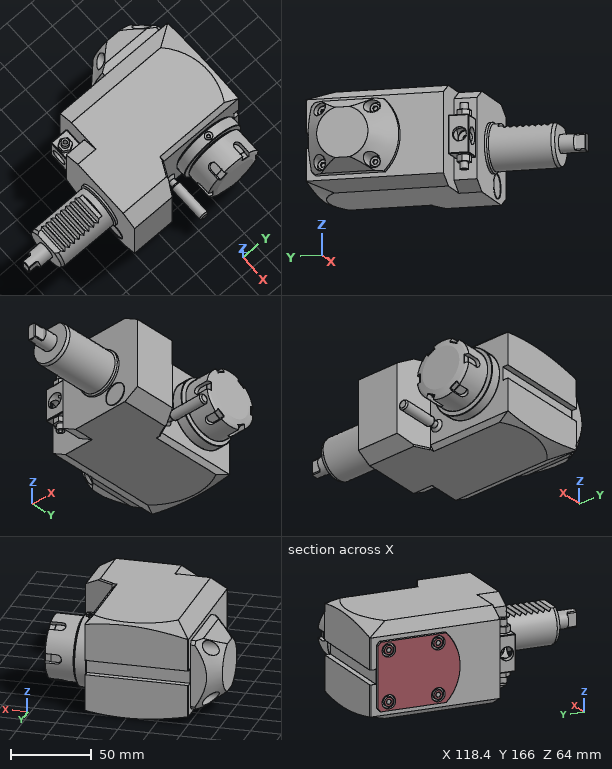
import cadquery as cq
import math


half_height = 32.0
foot_half_width = 32.0
left_x = -55.0
right_x = 12.0
step_y = 15.0
shoulder_y = 41.5
shoulder_end_y = 31.4
back_y = 104.0
bevel_angle = math.radians(30)
side_bevel_x = 10.8
side_bevel_z = side_bevel_x * math.tan(bevel_angle)
spindle_bevel = 3.2
shoulder_bevel = 0.8
back_corner_bevel = 0.5
crown_x = -13.8
crown_y = 57.3
crown_radius = 43.8
crown_slope = 1 / 3
key_slot_width = 9.6
key_slot_depth = 4.0
plug_x = 12.6
plug_z = -21.7
plug_radius = 7.8
plug_depth = 0.5

spindle_y = 75.0
cap_radius = 32.0
cap_face_x = -73.4
cap_face_radius = 16.6
cap_face_half_height = 16.0
cap_half_height = 22.9
cap_back_offset = 24.5
cap_bolt_offset = 17.0
cap_hole_radius = 4.5
bolt_head_radius = 3.2
bolt_head_height = 3.7
bolt_socket_size = 3.3
bolt_socket_depth = 2.0

ring_radius = 23.4
ring_start_x = 12.8
ring_end_x = 20.5
ring_bevel = 0.3
seat_radius = 21.9
neck_radius = 19.0
nut_start_x = 21.4
nut_edge_x = 39.8
nut_rim_x = 40.7
nut_end_x = 41.8
nut_radius = 20.9
nut_rim_radius = 19.3
nut_face_radius = 15.0
nut_back_bevel = 0.3
nut_slots = 6
nut_slot_width = 6.1
nut_slot_start_x = 29.4
nut_slot_step_x = 36.9
nut_slot_floor = 18.1
nut_slot_front_floor = 17.6
set_screw_x = 16.5
set_screw_radius = 2.7
set_screw_recess = 0.8
set_screw_socket_radius = 1.2
set_screw_socket_depth = 2.5

pin_y = 46.6
pin_z = -17.0
pin_radius = 3.5
pin_neck_radius = 2.5
pin_root_radius = 4.3
pin_root_end_x = 14.0
pin_neck_end_x = 17.5
pin_end_x = 45.0
pin_bevel = 1.0

block_left_x = -47.6
block_front_y = 0.8
block_back_y = 14.1
block_half_height = 12.3
block_bevel = 0.5
nozzle_x = -39.8
nozzle_y = 6.0
front_port_radius = 5.5
front_port_depth = 10.8
side_port_y = 6.8
side_port_radius = 4.5
side_port_depth = 13.3
side_drill_radius = 1.5
side_drill_end_x = -32.4
nozzle_hex_size = 9.3
nozzle_hex_height = 4.2
nozzle_radius = 2.7
nozzle_end_z = 20.9
nozzle_bore_radius = 1.3

shank_radius = 15.0
shank_length = 45.0
shank_bevel_length = 2.2
shank_bevel_depth = 0.8
collar_radius = 16.1
collar_rim_width = 1.5
collar_width = 2.3
flat_z = 11.8
flat_start_y = -6.8
tooth_count = 8
tooth_pitch = 4.0
first_tooth_y = -11.3
tooth_half_width = 1.8
tooth_depth = 1.5
drive_radius = 6.0
drive_shoulder_y = -54.8
tang_end_y = -62.0
tang_half_width = 3.0
tang_edge_half_width = 2.5
tang_flat_half_height = 4.5
tang_fillet = 0.8
tang_bevel = 0.5

overlap = 1.7
far = 332.0


def box(x0, x1, y0, y1, z0, z1):
    return cq.Workplane("XY").box(x1 - x0, y1 - y0, z1 - z0, centered=False).translate((x0, y0, z0))


def disc_x(x0, x1, radius, y, z):
    """Cylinder along X."""
    return cq.Workplane("YZ", origin=(x0, y, z)).circle(radius).extrude(x1 - x0)


def disc_z(z0, z1, radius, x, y):
    """Cylinder along Z."""
    return cq.Workplane("XY", origin=(x, y, z0)).circle(radius).extrude(z1 - z0)


def turned_x(profile, y, z):
    """Solid of revolution about an axis along X; the profile holds (x, radius) points."""
    blank = cq.Workplane("XY").polyline(profile).close().revolve(360, (0, 0, 0), (1, 0, 0))
    return blank.translate((0, y, z))


def turned_y(profile):
    """Solid of revolution about the Y axis; the profile holds (radius, y) points."""
    return cq.Workplane("XY").polyline(profile).close().revolve(360, (0, 0, 0), (0, 1, 0))


def both_sides(body):
    """The body together with its mirror image below the plane Z = 0."""
    return body.union(body.mirror("XY"))


def edge_bevel(face_x, inward, size_x, size_z, y0, y1):
    """Wedges that bevel the upper and lower edges of a face at face_x; inward is +1 or -1."""
    wedge = (
        cq.Workplane("XZ", origin=(0, y1, 0))
        .moveTo(face_x + inward * size_x, half_height)
        .lineTo(face_x, half_height - size_z)
        .lineTo(face_x - inward * overlap, half_height - size_z)
        .lineTo(face_x - inward * overlap, half_height + overlap)
        .lineTo(face_x + inward * size_x, half_height + overlap)
        .close()
        .extrude(y1 - y0)
    )
    return both_sides(wedge)


def crown_cutter():
    """Material outside the upper and lower cones that round off the back of the housing."""
    top_z = half_height + overlap
    top_radius = crown_radius - overlap / crown_slope
    base_radius = crown_radius + half_height / crown_slope
    cone = cq.Workplane(cq.Solid.makeCone(base_radius, top_radius, top_z)).translate((crown_x, crown_y, 0))
    back = box(left_x - overlap, right_x + overlap, crown_y, back_y + overlap, 0, top_z)
    return both_sides(back.cut(cone))


def housing():
    body = (
        cq.Workplane("XY", origin=(0, 0, -half_height))
        .polyline([(-foot_half_width, 0), (foot_half_width, 0), (foot_half_width, shoulder_end_y),
                   (right_x, shoulder_y), (right_x, back_y), (left_x, back_y),
                   (left_x, step_y), (-foot_half_width, step_y)])
        .close()
        .extrude(2 * half_height)
    )
    body = body.edges(cq.selectors.NearestToPointSelector((left_x, back_y, 0))).chamfer(back_corner_bevel)
    shoulder_mid = ((right_x + foot_half_width) / 2, (shoulder_y + shoulder_end_y) / 2)
    for z in (half_height, -half_height):
        edge = cq.selectors.NearestToPointSelector((*shoulder_mid, z))
        body = body.edges(edge).chamfer(shoulder_bevel)
    body = body.cut(edge_bevel(left_x, 1, side_bevel_x, side_bevel_z, step_y, back_y))
    body = body.cut(edge_bevel(-foot_half_width, 1, side_bevel_x, side_bevel_z, 0, step_y))
    body = body.cut(edge_bevel(foot_half_width, -1, side_bevel_x, side_bevel_z, 0, shoulder_y))
    body = body.cut(edge_bevel(right_x, -1, spindle_bevel, spindle_bevel, shoulder_y, back_y))
    body = body.cut(crown_cutter())
    body = body.cut(box(left_x, right_x, back_y - key_slot_depth, back_y,
                        -key_slot_width / 2, key_slot_width / 2))
    plug = cq.Workplane("XZ", origin=(plug_x, plug_depth, plug_z)).circle(plug_radius).extrude(plug_depth)
    return body.cut(plug)


def bearing_cap():
    cone_base_x = cap_face_x + cap_radius - cap_face_radius
    cap = turned_x([(left_x + overlap, 0), (left_x + overlap, cap_radius), (cone_base_x, cap_radius),
                    (cap_face_x, cap_face_radius), (cap_face_x, 0)], spindle_y, 0)
    slope_end_x = cap_face_x + (cap_half_height - cap_face_half_height) / math.tan(bevel_angle)
    envelope = (
        cq.Workplane("XZ", origin=(0, spindle_y + cap_back_offset, 0))
        .polyline([(left_x + overlap, cap_half_height), (slope_end_x, cap_half_height),
                   (cap_face_x, cap_face_half_height), (cap_face_x, -cap_face_half_height),
                   (slope_end_x, -cap_half_height), (left_x + overlap, -cap_half_height)])
        .close()
        .extrude(far)
    )
    return cap.intersect(envelope)


def cap_bolt_places():
    return [(spindle_y + sy * cap_bolt_offset, sz * cap_bolt_offset) for sy in (1, -1) for sz in (1, -1)]


def cap_bolt_head(y, z):
    head_x = left_x - bolt_head_height
    head = disc_x(head_x, left_x, bolt_head_radius, y, z)
    socket = cq.Workplane("YZ", origin=(head_x, y, z)).polygon(6, bolt_socket_size).extrude(bolt_socket_depth)
    return head.cut(socket)


def spindle_nose():
    profile = [
        (right_x - overlap, 0), (right_x - overlap, seat_radius), (ring_start_x, seat_radius),
        (ring_start_x, ring_radius - ring_bevel), (ring_start_x + ring_bevel, ring_radius),
        (ring_end_x - ring_bevel, ring_radius), (ring_end_x, ring_radius - ring_bevel),
        (ring_end_x, neck_radius), (nut_start_x, neck_radius),
        (nut_start_x, nut_radius - nut_back_bevel), (nut_start_x + nut_back_bevel, nut_radius),
        (nut_edge_x, nut_radius), (nut_rim_x, nut_rim_radius), (nut_end_x, nut_face_radius),
        (nut_end_x, 0),
    ]
    nose = turned_x(profile, spindle_y, 0)
    for i in range(nut_slots):
        nose = nose.cut(nut_slot().rotate((0, spindle_y, 0), (1, spindle_y, 0), i * 360 / nut_slots))
    nose = nose.cut(disc_z(ring_radius - set_screw_recess, ring_radius + overlap,
                           set_screw_radius, set_screw_x, spindle_y))
    return nose.cut(disc_z(ring_radius - set_screw_socket_depth, ring_radius,
                           set_screw_socket_radius, set_screw_x, spindle_y))


def nut_slot():
    """Spanner slot facing -Y with a round inner end; its floor steps down near the nut face."""
    floor_y = spindle_y - nut_slot_floor
    front_floor_y = spindle_y - nut_slot_front_floor
    outer_y = spindle_y - nut_radius - overlap
    half_width = nut_slot_width / 2
    round_x = nut_slot_start_x + half_width
    end = cq.Workplane("XZ", origin=(round_x, floor_y, 0)).circle(half_width).extrude(floor_y - outer_y)
    slot = end.union(box(round_x, nut_end_x, outer_y, floor_y, -half_width, half_width))
    return slot.union(box(nut_slot_step_x, nut_rim_x, outer_y, front_floor_y, -half_width, half_width))


def stop_pin():
    return turned_x([(right_x - overlap, 0), (right_x - overlap, pin_root_radius), (right_x, pin_root_radius),
                     (pin_root_end_x, pin_neck_radius), (pin_neck_end_x, pin_neck_radius),
                     (pin_neck_end_x + pin_bevel, pin_radius), (pin_end_x - pin_bevel, pin_radius),
                     (pin_end_x, pin_radius - pin_bevel), (pin_end_x, 0)], pin_y, pin_z)


def nozzle():
    """Hexagonal fitting with a round spout on top of the coolant block."""
    base = cq.Workplane("XY", origin=(nozzle_x, nozzle_y, block_half_height))
    fitting = base.polygon(6, nozzle_hex_size).extrude(nozzle_hex_height)
    return fitting.union(disc_z(block_half_height, nozzle_end_z, nozzle_radius, nozzle_x, nozzle_y))


def coolant_block():
    block = box(block_left_x, -foot_half_width, block_front_y, block_back_y, -block_half_height, block_half_height)
    block = block.edges("not >X").chamfer(block_bevel)
    port = (
        cq.Workplane("XZ", origin=(nozzle_x, block_front_y, 0))
        .circle(front_port_radius)
        .extrude(-front_port_depth)
    )
    block = block.cut(port)
    block = block.cut(disc_x(block_left_x, block_left_x + side_port_depth, side_port_radius, side_port_y, 0))
    block = block.cut(disc_x(block_left_x, side_drill_end_x, side_drill_radius, side_port_y, 0))
    block = block.union(both_sides(nozzle()))
    return block.cut(disc_z(-nozzle_end_z, nozzle_end_z, nozzle_bore_radius, nozzle_x, nozzle_y))


def shank():
    body = turned_y([(0, overlap), (collar_radius, overlap), (collar_radius, -collar_rim_width),
                     (shank_radius, -collar_width), (shank_radius, shank_bevel_length - shank_length),
                     (shank_radius - shank_bevel_depth, -shank_length), (0, -shank_length)])
    body = body.cut(box(-shank_radius, shank_radius, -shank_length, flat_start_y, flat_z, shank_radius))
    for i in range(tooth_count):
        y = first_tooth_y - i * tooth_pitch
        groove = (
            cq.Workplane("YZ", origin=(-shank_radius, 0, 0))
            .polyline([(y - tooth_half_width, flat_z), (y, flat_z - tooth_depth), (y + tooth_half_width, flat_z)])
            .close()
            .extrude(2 * shank_radius)
        )
        body = body.cut(groove)
    return body


def drive_tang():
    tang = turned_y([(0, overlap - shank_length), (drive_radius, overlap - shank_length),
                     (drive_radius, tang_end_y), (0, tang_end_y)])
    for side in (1, -1):
        cheek = box(tang_half_width, far, -far, drive_shoulder_y, -far, far)
        cheek = cheek.edges("<X and >Y").fillet(tang_fillet)
        if side < 0:
            cheek = cheek.mirror("YZ")
        tang = tang.cut(cheek)
    return tang.cut(blade_trim())


def blade_trim():
    """Material outside the tang blade, whose long edges taper and whose end is bevelled."""
    blade_y = drive_shoulder_y - tang_fillet
    blade = (
        cq.Workplane("XZ", origin=(0, blade_y, 0))
        .polyline([(tang_half_width, tang_flat_half_height), (tang_edge_half_width, drive_radius),
                   (-tang_edge_half_width, drive_radius), (-tang_half_width, tang_flat_half_height),
                   (-tang_half_width, -tang_flat_half_height), (-tang_edge_half_width, -drive_radius),
                   (tang_edge_half_width, -drive_radius), (tang_half_width, -tang_flat_half_height)])
        .close()
        .extrude(blade_y - tang_end_y)
        .faces("<Y")
        .edges()
        .chamfer(tang_bevel)
    )
    size = 2 * drive_radius
    return box(-size, size, tang_end_y - overlap, blade_y, -size, size).cut(blade)


result = housing().union(bearing_cap())
for bolt_y, bolt_z in cap_bolt_places():
    result = result.cut(disc_x(cap_face_x, left_x, cap_hole_radius, bolt_y, bolt_z))
    result = result.union(cap_bolt_head(bolt_y, bolt_z))
for piece in (spindle_nose(), stop_pin(), coolant_block(), shank(), drive_tang()):
    result = result.union(piece)